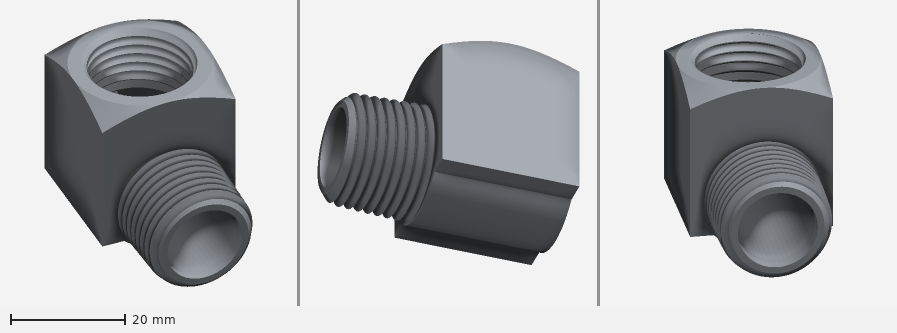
import cadquery as cq
import math

body_width = 25.4
half_width = body_width / 2
body_height = 30.85
belly_depth = 3.3
belly_radius = half_width
top_chamfer_angle = 30

part_length = 41.2
nipple_length = part_length - body_width
nipple_axis_z = 10.6
male_root_radius = 9.0
male_crest_radius = 10.5
nipple_tip_radius = 8.3
nipple_trim = 0.2
bore_radius = 14.2 / 2
bore_tip_length = 3.4

port_bottom_radius = 17.88 / 2
port_thread_depth = 13.6
port_thread_height = 1.35
port_chamfer_radius = 10.05
port_tip_slope = 0.6

pitch = 1.8
taper = 1 / 32
taper_angle = math.degrees(math.atan(taper))
tooth_half_width = 0.46 * pitch
overlap = 0.12
male_start_offset = 0.75

port_top_radius = port_bottom_radius + taper * port_thread_depth


def revolve_about_z(points):
    """Solid of revolution from (radius, height) points."""
    return cq.Workplane("XZ").polyline(points).close().revolve(360, (0, 0), (0, 1))


def thread_ridge(root_radius, tooth_height, length):
    """Right-hand V ridge widening along +Z, starting at angle 0, height 0."""
    path = cq.Wire.makeHelix(pitch, length, root_radius, angle=taper_angle)
    base_half_width = tooth_half_width * (1 + overlap / tooth_height)
    profile = (
        cq.Workplane("XZ")
        .moveTo(root_radius - overlap, -base_half_width)
        .lineTo(root_radius + tooth_height, 0)
        .lineTo(root_radius - overlap, base_half_width)
        .close()
    )
    return profile.sweep(cq.Workplane(obj=path), isFrenet=True)


def make_body():
    flat_height = body_height - belly_depth
    block = (
        cq.Workplane("XY").workplane(offset=belly_depth)
        .rect(body_width, body_width).extrude(flat_height)
    )
    corner_radius = half_width * math.sqrt(2)
    corner_drop = (corner_radius - half_width) * math.tan(math.radians(top_chamfer_angle))
    envelope = revolve_about_z([
        (0, 0),
        (corner_radius, 0),
        (corner_radius, body_height - corner_drop),
        (half_width, body_height),
        (0, body_height),
    ])
    belly = (
        cq.Workplane("YZ").workplane(offset=-half_width)
        .center(0, belly_radius).circle(belly_radius).extrude(body_width)
    )
    return block.intersect(envelope).union(belly)


def along_nipple(shape):
    """Move a shape built on +Z so that Z = 0 lies on the body face, pointing along +X."""
    return (
        shape.rotate((0, 0, 0), (1, 1, 1), 120)
        .translate((half_width, 0, nipple_axis_z))
    )


def make_nipple():
    embed = 0.6 * pitch
    blank_end = nipple_length + nipple_trim
    blank = revolve_about_z([
        (bore_radius, -embed),
        (male_root_radius + taper * embed, -embed),
        (male_root_radius - taper * blank_end, blank_end),
        (bore_radius, blank_end),
    ])
    start_distance = nipple_length + pitch
    ridge = thread_ridge(
        male_root_radius - taper * start_distance,
        male_crest_radius - male_root_radius,
        start_distance + pitch,
    )
    ridge = ridge.rotate((0, 0, 0), (1, 0, 0), 180).translate((0, 0, start_distance))
    phase = 360 * (start_distance - male_start_offset) / pitch
    ridge = ridge.rotate((0, 0, 0), (0, 0, 1), phase)
    ridge_space = (
        cq.Workplane("XY").workplane(offset=-embed)
        .circle(2 * male_crest_radius).extrude(embed + blank_end)
    )
    chamfer_reach = male_crest_radius
    tip_waste = revolve_about_z([
        (0, nipple_length),
        (nipple_tip_radius, nipple_length),
        (nipple_tip_radius + chamfer_reach, nipple_length - chamfer_reach),
        (nipple_tip_radius + chamfer_reach, blank_end + nipple_trim),
        (0, blank_end + nipple_trim),
    ])
    threaded = blank.union(ridge.intersect(ridge_space))
    return along_nipple(threaded.cut(tip_waste))


def make_bore():
    return along_nipple(revolve_about_z([
        (0, -half_width - bore_tip_length),
        (bore_radius, -half_width),
        (bore_radius, nipple_length),
        (0, nipple_length),
    ]))


def make_port():
    thread_bottom = body_height - port_thread_depth
    tip_z = nipple_axis_z - bore_radius * port_tip_slope
    chamfer_depth = port_chamfer_radius - port_top_radius
    return revolve_about_z([
        (0, tip_z),
        (port_bottom_radius, tip_z + port_bottom_radius * port_tip_slope),
        (port_bottom_radius, thread_bottom),
        (port_top_radius, body_height - chamfer_depth),
        (port_chamfer_radius, body_height),
        (0, body_height),
    ])


def make_port_groove():
    turns_below_top = math.floor(port_thread_depth / pitch)
    groove_depth = turns_below_top * pitch
    start_radius = port_top_radius - taper * groove_depth
    groove = thread_ridge(start_radius, port_thread_height, groove_depth + pitch)
    return groove.rotate((0, 0, 0), (0, 0, 1), 180).translate((0, 0, body_height - groove_depth))


body = make_body().cut(make_port()).cut(make_bore()).cut(make_port_groove())
result = body.union(make_nipple())